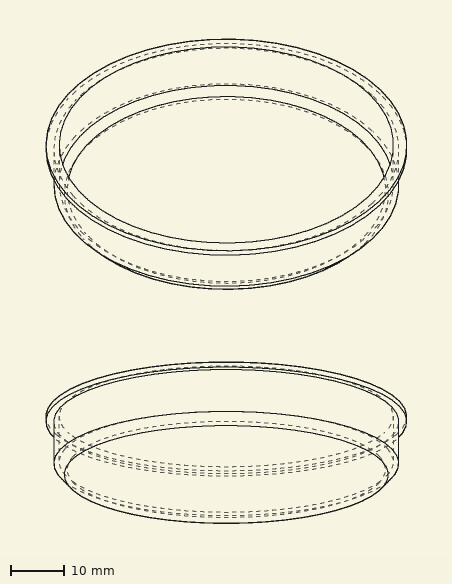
import cadquery as cq

rim_diameter = 68.0
body_diameter = 65.0
cavity_diameter = 63.0
total_height = 11.5

rim_thickness = 1.0
floor_thickness = 1.0
outer_slope_width = 2.0
outer_slope_height = 2.2
inner_slope = 1.5

rim_radius = rim_diameter / 2
body_radius = body_diameter / 2
cavity_radius = cavity_diameter / 2
rim_bottom = total_height - rim_thickness

section = (
    cq.Workplane("XZ")
    .lineTo(body_radius - outer_slope_width, 0)
    .lineTo(body_radius, outer_slope_height)
    .lineTo(body_radius, rim_bottom)
    .lineTo(rim_radius, rim_bottom)
    .lineTo(rim_radius, total_height)
    .lineTo(cavity_radius, total_height)
    .lineTo(cavity_radius, floor_thickness + inner_slope)
    .lineTo(cavity_radius - inner_slope, floor_thickness)
    .lineTo(0, floor_thickness)
    .close()
)

result = section.revolve(360, (0, 0, 0), (0, 1, 0))